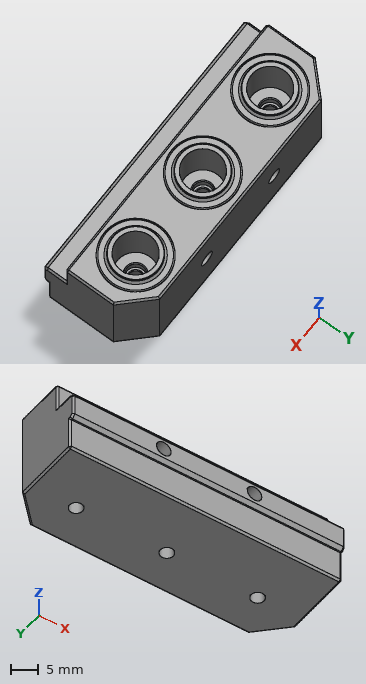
import cadquery as cq

length = 60.0
depth = 21.7
block_height = 19.0
corner_cut = 5.95
edge_chamfer = 0.4

lower_front = 1.0
upper_front = 5.0
lip_bottom = 7.0
lip_top = 13.0
lip_chamfer = 0.7

bushing_count = 3
bushing_pitch = length / bushing_count
bushing_setback = 8.5
flange_diameter = 14.2
flange_chamfer = 0.3
collar_top = 20.0
collar_base_diameter = 11.4
collar_diameter = 10.45
collar_rim_diameter = 10.2
collar_cone_height = 0.5
collar_rim_chamfer = (collar_diameter - collar_rim_diameter) / 2

bore_diameter = 8.45
bore_floor = block_height / 2
counterbore_diameter = 4.1
counterbore_mouth_diameter = 4.5
counterbore_depth = 1.8
through_diameter = 2.8
through_mouth_diameter = 3.2

mount_diameter = 3.2
mount_height = (lip_bottom + lip_top) / 2


def make_block():
    """Stepped bar with chamfered lip, cut back corners and bevelled outer edges."""
    profile = [
        (lower_front, 0),
        (depth, 0),
        (depth, block_height),
        (upper_front, block_height),
        (upper_front, lip_top),
        (lip_chamfer, lip_top),
        (0, lip_top - lip_chamfer),
        (0, lip_bottom + lip_chamfer),
        (lip_chamfer, lip_bottom),
        (lower_front, lip_bottom),
    ]
    block = cq.Workplane("YZ").polyline(profile).close().extrude(length / 2, both=True)
    block = block.faces(">Y").edges("|Z").chamfer(corner_cut)

    cut_start = depth - corner_cut
    seam_zone = cq.selectors.BoxSelector(
        (-length, cut_start - edge_chamfer, edge_chamfer),
        (length, cut_start + edge_chamfer, block_height - edge_chamfer),
    )
    outer_edges = block.faces("<X or >X or <Z or >Z").edges()
    seam_edges = block.edges("|Z").edges(seam_zone).vals()
    bevelled_edges = outer_edges.filter(lambda edge: not any(edge.isSame(seam) for seam in seam_edges))
    return bevelled_edges.chamfer(edge_chamfer)


def revolve_section(section):
    """Full turn of a (radius, height) outline about the vertical axis."""
    return cq.Workplane("XZ").polyline(section).close().revolve(360, (0, 0), (0, 1))


def make_groove():
    """V-groove around the flange: upright outer wall, sloping inner wall."""
    outer = flange_diameter / 2
    section = [
        (outer, block_height),
        (outer, block_height - flange_chamfer),
        (outer - flange_chamfer, block_height),
    ]
    return revolve_section(section)


def make_collar():
    """Raised collar with a conical foot and a chamfered rim."""
    section = [
        (0, block_height),
        (collar_base_diameter / 2, block_height),
        (collar_diameter / 2, block_height + collar_cone_height),
        (collar_diameter / 2, collar_top - collar_rim_chamfer),
        (collar_rim_diameter / 2, collar_top),
        (0, collar_top),
    ]
    return revolve_section(section)


def make_bore():
    """Wide bore, counterbore and through hole; the two narrower mouths are chamfered."""
    bore_radius = bore_diameter / 2
    counterbore_radius = counterbore_diameter / 2
    counterbore_mouth_radius = counterbore_mouth_diameter / 2
    through_radius = through_diameter / 2
    through_mouth_radius = through_mouth_diameter / 2
    counterbore_floor = bore_floor - counterbore_depth
    section = [
        (0, 0),
        (through_radius, 0),
        (through_radius, counterbore_floor - (through_mouth_radius - through_radius)),
        (through_mouth_radius, counterbore_floor),
        (counterbore_radius, counterbore_floor),
        (counterbore_radius, bore_floor - (counterbore_mouth_radius - counterbore_radius)),
        (counterbore_mouth_radius, bore_floor),
        (bore_radius, bore_floor),
        (bore_radius, collar_top),
        (0, collar_top),
    ]
    return revolve_section(section)


def centred_positions(count):
    """X positions of a row at the bushing pitch, centred on the block."""
    return [(i - (count - 1) / 2) * bushing_pitch for i in range(count)]


result = make_block()

for x in centred_positions(bushing_count):
    place = (x, depth - bushing_setback, 0)
    result = result.cut(make_groove().translate(place))
    result = result.union(make_collar().translate(place))
    result = result.cut(make_bore().translate(place))

for x in centred_positions(bushing_count - 1):
    mount_hole = cq.Workplane("XZ").center(x, mount_height).circle(mount_diameter / 2).extrude(-depth)
    result = result.cut(mount_hole)